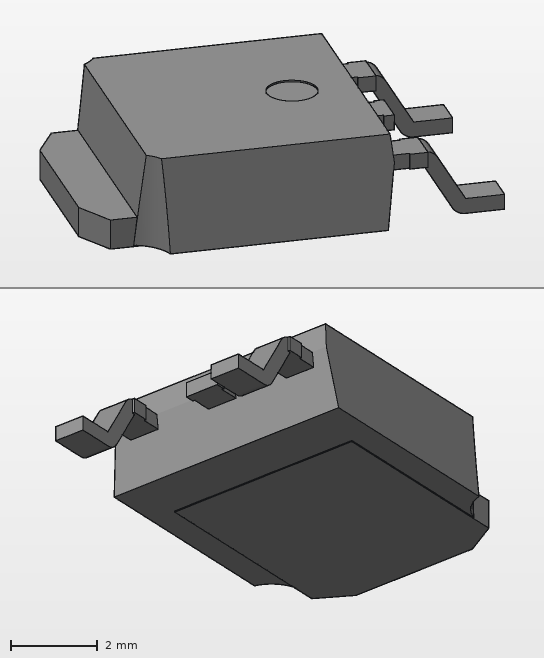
import cadquery as cq
import math

total_length = 9.9
total_height = 2.35
y_end = total_length / 2

body_bottom_z = 0.06
body_bottom_width = 6.6
body_top_width = 6.02
front_bottom_y = -3.88
front_top_y = -3.61
back_bottom_y = 2.01
back_parting_y = 2.21
back_top_y = 2.13

notch_radius = 1.0
notch_x = 3.56
notch_y = -4.16

mark_radius = 0.6
mark_y = 0.6
mark_depth = 0.04

tab_width = 5.21
tab_end_width = 3.43
tab_corner_angle = 30.0
tab_bottom_z = 0.03
tab_top_z = 0.76
tab_inner_y = 0.64

lead_thickness = 0.38
lead_width = 0.8
lead_pitch = 2.29
lead_root_y = 1.485
lead_top_z = 1.66
lead_slope_angle = 59.0
shoulder_width = 0.91
shoulder_start_y = 2.67
shoulder_end_y = 3.11
stub_end_y = 2.92
foot_bend_y = 4.02

lead_bottom_z = lead_top_z - lead_thickness
parting_z = lead_top_z


def make_body():
    """Body with drafted faces, a parting line at the back and notched front corners."""
    side_profile = (
        cq.Workplane("YZ")
        .polyline([
            (front_bottom_y, body_bottom_z),
            (back_bottom_y, body_bottom_z),
            (back_parting_y, parting_z),
            (back_top_y, total_height),
            (front_top_y, total_height),
        ])
        .close()
        .extrude(body_bottom_width / 2, both=True)
    )
    end_profile = (
        cq.Workplane("XZ")
        .polyline([
            (-body_bottom_width / 2, body_bottom_z),
            (body_bottom_width / 2, body_bottom_z),
            (body_top_width / 2, total_height),
            (-body_top_width / 2, total_height),
        ])
        .close()
        .extrude(total_length, both=True)
    )
    notches = (
        cq.Workplane("XY")
        .pushPoints([(-notch_x, notch_y), (notch_x, notch_y)])
        .circle(notch_radius)
        .extrude(total_height)
    )
    mark = (
        cq.Workplane("XY", origin=(0, mark_y, total_height - mark_depth))
        .circle(mark_radius)
        .extrude(mark_depth)
    )
    return side_profile.intersect(end_profile).cut(notches).cut(mark)


def make_tab():
    """Flat tab with two angled corners at its free end."""
    corner_x = (tab_width - tab_end_width) / 2
    corner_y = corner_x * math.tan(math.radians(tab_corner_angle))
    return (
        cq.Workplane("XY", origin=(0, 0, tab_bottom_z))
        .polyline([
            (-tab_width / 2, tab_inner_y),
            (-tab_width / 2, -y_end + corner_y),
            (-tab_end_width / 2, -y_end),
            (tab_end_width / 2, -y_end),
            (tab_width / 2, -y_end + corner_y),
            (tab_width / 2, tab_inner_y),
        ])
        .close()
        .extrude(tab_top_z - tab_bottom_z)
    )


def make_bar(x, width, start_y, end_y):
    """Straight horizontal stretch of a lead at the upper level."""
    return cq.Workplane("XY", origin=(x, start_y, lead_bottom_z)).box(
        width, end_y - start_y, lead_thickness, centered=(True, False, False)
    )


def make_bent_lead(x):
    """Outer lead bent down to a foot; bends are sharp inside and round outside."""
    slope = math.radians(lead_slope_angle)
    normal_y = lead_thickness * math.sin(slope)
    normal_z = lead_thickness * math.cos(slope)
    half_y = lead_thickness * math.sin(slope / 2)
    half_z = lead_thickness * math.cos(slope / 2)
    slope_rise = lead_bottom_z + normal_z - lead_thickness
    upper_bend_y = foot_bend_y - normal_y - slope_rise / math.tan(slope)
    profile = (
        cq.Workplane("YZ", origin=(x, 0, 0))
        .moveTo(lead_root_y, lead_bottom_z)
        .lineTo(upper_bend_y, lead_bottom_z)
        .lineTo(foot_bend_y - normal_y, lead_thickness - normal_z)
        .threePointArc((foot_bend_y - half_y, lead_thickness - half_z), (foot_bend_y, 0))
        .lineTo(y_end, 0)
        .lineTo(y_end, lead_thickness)
        .lineTo(foot_bend_y, lead_thickness)
        .lineTo(upper_bend_y + normal_y, lead_bottom_z + normal_z)
        .threePointArc((upper_bend_y + half_y, lead_bottom_z + half_z), (upper_bend_y, lead_top_z))
        .lineTo(lead_root_y, lead_top_z)
        .close()
    )
    shoulder = make_bar(x, shoulder_width, shoulder_start_y, shoulder_end_y)
    return profile.extrude(lead_width / 2, both=True).union(shoulder)


def make_cut_lead():
    """Middle lead, cut off just past its shoulder."""
    stem = make_bar(0, lead_width, lead_root_y, stub_end_y)
    return stem.union(make_bar(0, shoulder_width, shoulder_start_y, stub_end_y))


result = make_body().union(make_tab()).union(make_cut_lead())
for lead_x in (-lead_pitch, lead_pitch):
    result = result.union(make_bent_lead(lead_x))